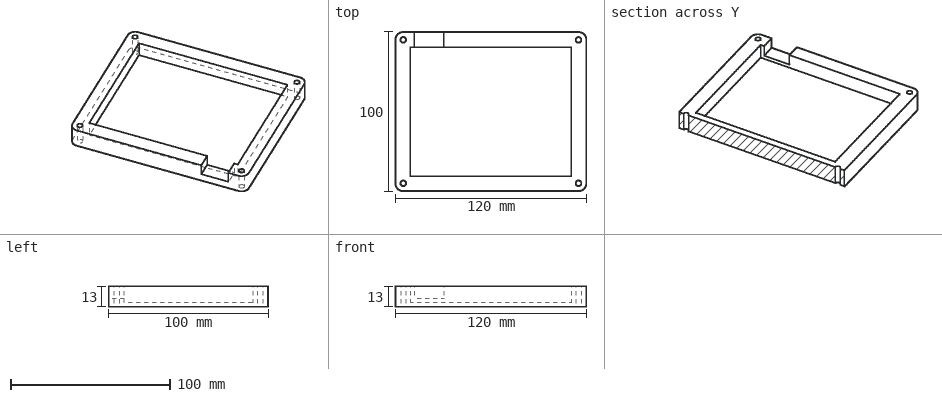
import cadquery as cq

length = 120.0
width = 100.0
height = 13.0
corner_radius = 5.0

wall = 9.5
floor_thickness = 3.0

notch_start = 12.0
notch_width = 18.3
notch_depth = 7.5

hole_diameter = 3.4
hole_inset = corner_radius


def make_block():
    block = cq.Workplane("XY").box(length, width, height, centered=(True, True, False))
    return block.edges("|Z").fillet(corner_radius)


def make_pocket():
    return (
        cq.Workplane("XY")
        .workplane(offset=floor_thickness)
        .rect(length - 2 * wall, width - 2 * wall)
        .extrude(height - floor_thickness)
    )


def make_notch():
    return (
        cq.Workplane("XY")
        .box(notch_width, wall, notch_depth, centered=False)
        .translate((notch_start - length / 2, width / 2 - wall, height - notch_depth))
    )


def make_screw_holes():
    return (
        cq.Workplane("XY")
        .rect(length - 2 * hole_inset, width - 2 * hole_inset, forConstruction=True)
        .vertices()
        .circle(hole_diameter / 2)
        .extrude(height)
    )


result = make_block().cut(make_pocket()).cut(make_notch()).cut(make_screw_holes())